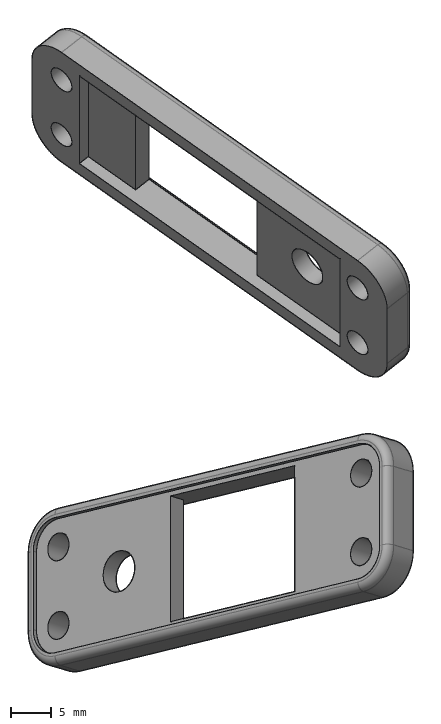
import cadquery as cq

plate_length = 60.0
plate_height = 20.0
plate_thickness = 4.6
corner_radius = 5.0
rear_edge_radius = 1.0

recess_length = 44.0
recess_height = 16.0
recess_depth = 1.6

rear_rim_width = 1.4
rear_recess_depth = 0.6

left_floor_length = 8.0
window_length = 20.5
window_left = -recess_length / 2 + left_floor_length
window_center_x = window_left + window_length / 2

mounting_hole_diameter = 3.5
mounting_hole_spacing_x = plate_length - 2 * corner_radius
mounting_hole_spacing_z = plate_height - 2 * corner_radius
floor_hole_diameter = 5.2
floor_hole_x = 15.0


def upright_plane(x=0.0, y=0.0):
    """Workplane parallel to the front face (y = 0) whose normal points to the rear (+Y)."""
    return cq.Workplane(cq.Plane(origin=(x, y, 0), xDir=(1, 0, 0), normal=(0, 1, 0)))


def make_plate():
    """Rounded rectangular plate with its rear outer edge filleted."""
    plate = upright_plane().rect(plate_length, plate_height).extrude(plate_thickness)
    plate = plate.edges("|Y").fillet(corner_radius)
    return plate.faces(">Y").edges().fillet(rear_edge_radius)


def make_recess():
    """Rectangular cutter for the shallow front recess."""
    return upright_plane().rect(recess_length, recess_height).extrude(recess_depth)


def make_rear_recess():
    """Rounded cutter for the rear recess, inset evenly from the plate outline."""
    recess = (
        upright_plane(y=plate_thickness - rear_recess_depth)
        .rect(plate_length - 2 * rear_rim_width, plate_height - 2 * rear_rim_width)
        .extrude(rear_recess_depth)
    )
    return recess.edges("|Y").fillet(corner_radius - rear_rim_width)


def make_window():
    """Rectangular cutter through the whole plate."""
    return upright_plane(window_center_x).rect(window_length, recess_height).extrude(plate_thickness)


def make_mounting_holes():
    """Four through-hole cutters, one at each plate corner."""
    return (
        upright_plane()
        .rarray(mounting_hole_spacing_x, mounting_hole_spacing_z, 2, 2)
        .circle(mounting_hole_diameter / 2)
        .extrude(plate_thickness)
    )


def make_floor_hole():
    """Through-hole cutter in the right-hand part of the floor."""
    return upright_plane(floor_hole_x).circle(floor_hole_diameter / 2).extrude(plate_thickness)


result = (
    make_plate()
    .cut(make_recess())
    .cut(make_rear_recess())
    .cut(make_window())
    .cut(make_mounting_holes())
    .cut(make_floor_hole())
)